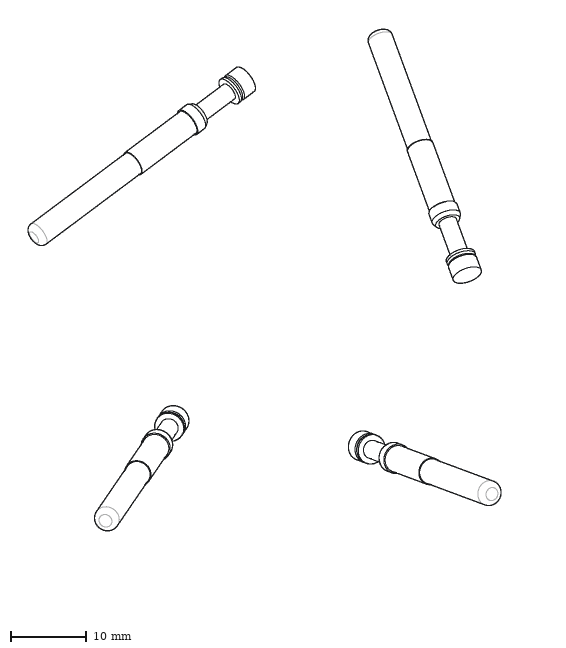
import cadquery as cq

length = 38.5
head_end = length / 2
tip_end = -length / 2

head_radius = 2.0
groove_radius = 1.9
neck_radius = 1.25
collar_front_radius = 1.7
sleeve_radius = 1.8
barrel_radius = 1.7
tip_round = 0.8

groove_start = 2.0
groove_floor = 2.25
groove_stop = 2.58
head_length = 2.95
collar_start = 8.5
collar_taper_end = 9.1
collar_end = 10.5
sleeve_end = 20.5


def station(distance):
    """Y position at a distance below the head end face."""
    return head_end - distance


profile = (
    cq.Workplane("XY")
    .moveTo(0, head_end)
    .lineTo(head_radius, head_end)
    .lineTo(head_radius, station(groove_start))
    .lineTo(groove_radius, station(groove_floor))
    .lineTo(head_radius, station(groove_stop))
    .lineTo(head_radius, station(head_length))
    .lineTo(neck_radius, station(head_length))
    .lineTo(neck_radius, station(collar_start))
    .lineTo(collar_front_radius, station(collar_start))
    .lineTo(head_radius, station(collar_taper_end))
    .lineTo(head_radius, station(collar_end))
    .lineTo(sleeve_radius, station(collar_end))
    .lineTo(sleeve_radius, station(sleeve_end))
    .lineTo(barrel_radius, station(sleeve_end))
    .lineTo(barrel_radius, tip_end + tip_round)
    .radiusArc((barrel_radius - tip_round, tip_end), tip_round)
    .lineTo(0, tip_end)
    .close()
)

result = profile.revolve(360, (0, 0, 0), (0, 1, 0))